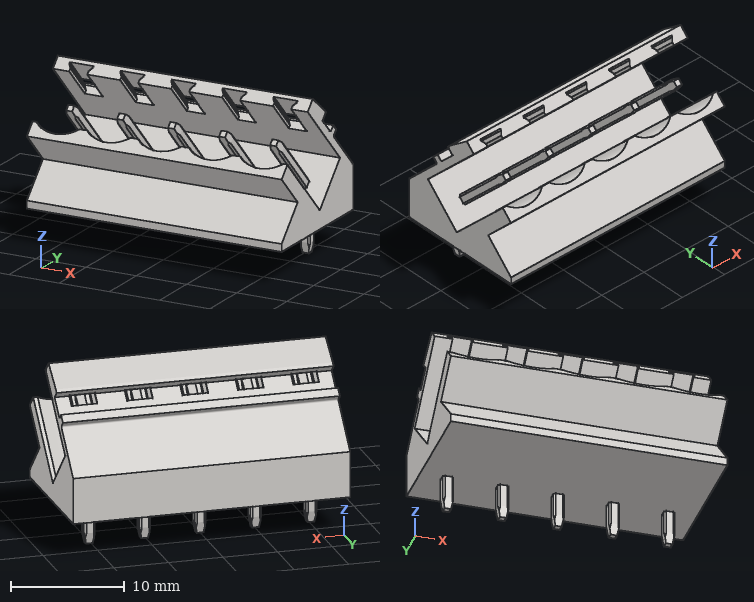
import cadquery as cq
import math

SQRT2 = math.sqrt(2)

pin_count = 5
pitch = 5.08
housing_length = pin_count * pitch
pin_x_places = [(i - (pin_count - 1) / 2) * pitch for i in range(pin_count)]

housing_depth = 13.3
front_lip_height = 0.75
socket_depth = 8.49
socket_width = 5.31
socket_corner_z = 1.78
lower_arm_thickness = 1.52
upper_arm_thickness = 0.82
socket_corner_y = (socket_depth + lower_arm_thickness) / SQRT2

head_start = 5.36
head_tip_thickness = 1.33
head_heel_thickness = 1.69
head_land_length = 0.35

rib_start = 2.49
rib_width = 0.80
rib_height = 0.70
rib_root_radius = 0.18

keyway_start = 4.37
keyway_depth = 0.90
keyway_mouth_width = 1.80
keyway_inner_width = 2.34
keyway_neck_depth = 0.32
keyway_flare_depth = 0.72

scallop_width = 4.27
scallop_depth = 0.83
scallop_radius = ((scallop_width / 2) ** 2 + scallop_depth ** 2) / (2 * scallop_depth)

pin_width = 1.0
bend_angle = 45
pin_edge_chamfer = 0.18
pin_tip_width = 0.60
pin_tip_length = 1.04
pin_tail_length = 3.19
pin_tail_y = 9.47
pin_across = 2.28
pin_end_along = 7.55


def socket_to_yz(along, across):
    """Turn a place in the socket into Y and Z."""
    y = socket_corner_y + (across - along) / SQRT2
    z = socket_corner_z + (across + along) / SQRT2
    return y, z


def socket_plane(along):
    """Plane square to the socket: its x is X, its y is across, its normal is along."""
    y, z = socket_to_yz(along, 0)
    return cq.Workplane(cq.Plane(origin=(0, y, z), xDir=(1, 0, 0), normal=(0, -1, 1)))


def extrude_profile(points):
    """Extrude a Y-Z outline over the whole length of the housing."""
    profile = cq.Workplane("YZ").polyline(points).close()
    return profile.extrude(housing_length / 2, both=True)


def fillet_at(body, along, across, radius):
    """Round the lengthwise edge that passes through a place in the socket frame."""
    y, z = socket_to_yz(along, across)
    return body.edges(cq.selectors.NearestToPointSelector((0, y, z))).fillet(radius)


def make_housing_body():
    arm_back = socket_width + upper_arm_thickness
    head_back = socket_width + head_heel_thickness
    rib_back = arm_back + rib_height
    rib_end = rib_start + rib_width
    arm_back_y, arm_back_z = socket_to_yz(0, arm_back)
    rear_corner_z = arm_back_z - (housing_depth - arm_back_y)

    arm_front_z = socket_to_yz(socket_depth, -lower_arm_thickness)[1]
    notch_y = (arm_front_z - front_lip_height) / 2
    notch_z = front_lip_height + notch_y

    body = extrude_profile([
        (0, 0),
        (0, front_lip_height),
        (notch_y, notch_z),
        socket_to_yz(socket_depth, -lower_arm_thickness),
        socket_to_yz(socket_depth, 0),
        socket_to_yz(0, 0),
        socket_to_yz(0, socket_width),
        socket_to_yz(socket_depth, socket_width),
        socket_to_yz(socket_depth, socket_width + head_tip_thickness),
        socket_to_yz(head_start + head_land_length, head_back),
        socket_to_yz(head_start, head_back),
        socket_to_yz(head_start, arm_back),
        socket_to_yz(rib_end, arm_back),
        socket_to_yz(rib_end, rib_back),
        socket_to_yz(rib_start, rib_back),
        socket_to_yz(rib_start, arm_back),
        (housing_depth, rear_corner_z),
        (housing_depth, 0),
    ])
    body = fillet_at(body, rib_start, arm_back, rib_root_radius)
    return fillet_at(body, rib_end, arm_back, rib_root_radius)


def make_scallop(x):
    """Shallow round channel along the inner face of the lower arm."""
    center = (x, scallop_radius - scallop_depth)
    channel = socket_plane(0).center(*center).circle(scallop_radius).extrude(socket_depth)
    lower_half = socket_plane(0).center(x, -scallop_depth / 2).rect(scallop_width, scallop_depth)
    return channel.intersect(lower_half.extrude(socket_depth))


def make_keyway(x):
    """Dovetail keyway, deeper than the thin part of the upper arm, so it opens a window there."""
    mouth = keyway_mouth_width / 2
    inner = keyway_inner_width / 2
    outline = [
        (-mouth, 0),
        (-mouth, keyway_neck_depth),
        (-inner, keyway_flare_depth),
        (-inner, keyway_depth),
        (inner, keyway_depth),
        (inner, keyway_flare_depth),
        (mouth, keyway_neck_depth),
        (mouth, 0),
    ]
    sketch = socket_plane(keyway_start).center(x, socket_width).polyline(outline).close()
    return sketch.extrude(socket_depth - keyway_start)


def make_pin_leg(length):
    """Upright leg from the bend at the origin, with a tapered tip and a mitred lower end."""
    overlap = pin_width
    bar = (
        cq.Workplane("XY").workplane(offset=-overlap)
        .rect(pin_width, pin_width).extrude(length + overlap)
        .edges("|Z").chamfer(pin_edge_chamfer)
    )
    shank_length = length - pin_tip_length
    envelope = (
        cq.Workplane("XY").workplane(offset=-overlap)
        .rect(pin_width, pin_width).extrude(shank_length + overlap)
        .faces(">Z").workplane().rect(pin_width, pin_width)
        .workplane(offset=pin_tip_length).rect(pin_tip_width, pin_tip_width)
        .loft(combine=True)
    )
    mitre_rise = pin_width * math.tan(math.radians(bend_angle / 2))
    mitre_cut = (
        cq.Workplane("YZ")
        .polyline([
            (-pin_width, mitre_rise),
            (pin_width, -mitre_rise),
            (pin_width, -2 * overlap),
            (-pin_width, -2 * overlap),
        ]).close()
        .extrude(pin_width, both=True)
    )
    return bar.intersect(envelope).cut(mitre_cut)


def make_pin(x):
    """Bent pin: a tail straight down and a contact leaning forward into the socket."""
    bend_along = pin_across - (pin_tail_y - socket_corner_y) * SQRT2
    bend_z = socket_to_yz(bend_along, pin_across)[1]

    contact = make_pin_leg(pin_end_along - bend_along).rotate((0, 0, 0), (1, 0, 0), bend_angle)
    tail = make_pin_leg(bend_z + pin_tail_length).mirror("XY")
    return contact.union(tail).translate((x, pin_tail_y, bend_z))


pins = [make_pin(x) for x in pin_x_places]

housing = make_housing_body()
for x in pin_x_places:
    housing = housing.cut(make_scallop(x)).cut(make_keyway(x))
for pin in pins:
    housing = housing.cut(pin)

result = cq.Compound.makeCompound([housing.solids().val(), *[pin.solids().val() for pin in pins]])